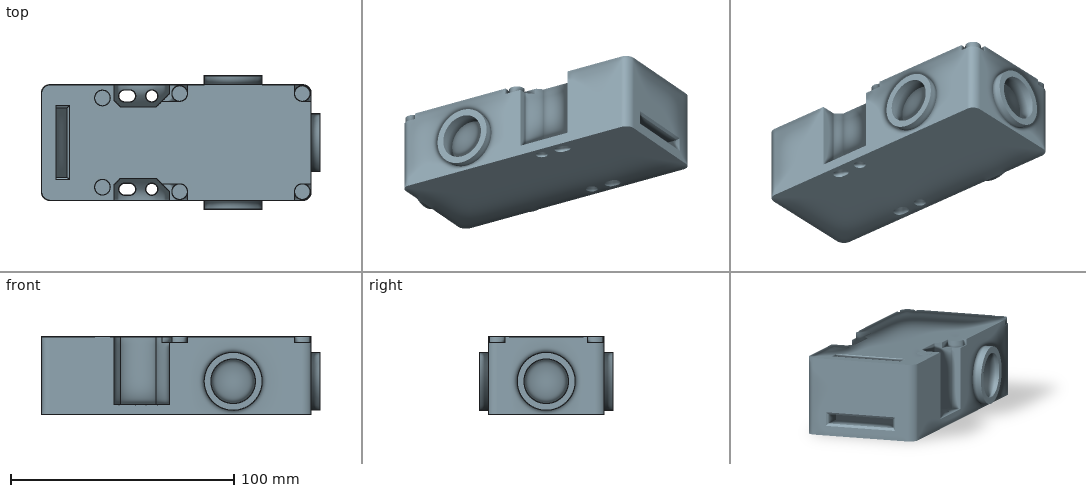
import cadquery as cq
import math

BODY_LENGTH = 121.0
BODY_WIDTH = 52.0
BODY_HEIGHT = 35.0
CORNER_RADIUS = 4.0
HALF_WIDTH = BODY_WIDTH / 2

NOTCH_START = 32.5
NOTCH_LENGTH = 25.0
NOTCH_DEPTH = 10.0
NOTCH_FRONT_CHAMFER = 3.0
NOTCH_REAR_CHAMFER = 6.0
FLANGE_THICKNESS = 4.5

MOUNT_HOLE_DIAMETER = 5.3
MOUNT_HOLE_Y = 20.9
ROUND_HOLE_X = 49.5
LONG_HOLE_X = 38.5
LONG_HOLE_LENGTH = 7.5

HEAD_DIAMETER = 7.0
HEAD_RISE = 0.1
HEAD_RADIUS = HEAD_DIAMETER / 2
FRONT_SCREW_X = 27.4
FRONT_SCREW_Y = 20.0
COVER_SCREW_Y = 22.0
MIDDLE_SCREW_X = 62.0
REAR_SCREW_X = 117.0
SCREW_POCKET_DEPTH = 2.7

COLLAR_DIAMETER = 26.0
COLLAR_LENGTH = 4.0
SOCKET_DIAMETER = 20.0
SOCKET_DEPTH = 7.4
OUTLET_Z = 15.0
SIDE_OUTLET_X = 86.0

MOUTH_LENGTH = 33.2
MOUTH_CHAMFER = 1.0
SLOT_DEPTH = 10.0
TOP_SLOT_FRONT = 6.6
TOP_SLOT_REAR = 12.6
END_SLOT_BOTTOM = 4.4
END_SLOT_TOP = 10.6


def make_body():
    block = cq.Workplane("XY").box(BODY_LENGTH, BODY_WIDTH, BODY_HEIGHT, centered=(False, True, False))
    return block.edges("|Z").fillet(CORNER_RADIUS)


def make_notch(side):
    """Notch in the long side at Y = side * HALF_WIDTH, with chamfered inner corners."""
    end = NOTCH_START + NOTCH_LENGTH
    outer = side * HALF_WIDTH
    inner = side * (HALF_WIDTH - NOTCH_DEPTH)
    outline = [
        (NOTCH_START, outer),
        (NOTCH_START, inner + side * NOTCH_FRONT_CHAMFER),
        (NOTCH_START + NOTCH_FRONT_CHAMFER, inner),
        (end - NOTCH_REAR_CHAMFER, inner),
        (end, inner + side * NOTCH_REAR_CHAMFER),
        (end, outer),
    ]
    floor = cq.Workplane("XY").workplane(offset=FLANGE_THICKNESS)
    return floor.polyline(outline).close().extrude(BODY_HEIGHT - FLANGE_THICKNESS)


def make_mounting_holes(side):
    base = cq.Workplane("XY")
    y = side * MOUNT_HOLE_Y
    round_hole = base.center(ROUND_HOLE_X, y).circle(MOUNT_HOLE_DIAMETER / 2).extrude(FLANGE_THICKNESS)
    long_hole = (
        base.center(LONG_HOLE_X, y).slot2D(LONG_HOLE_LENGTH, MOUNT_HOLE_DIAMETER).extrude(FLANGE_THICKNESS)
    )
    return round_hole.union(long_hole)


def make_screw_pocket(screw_x, open_x, side):
    """Step in the top edge, open to the side and at open_x, its inner corner wrapping the screw head."""
    floor = cq.Workplane("XY").workplane(offset=BODY_HEIGHT - SCREW_POCKET_DEPTH)
    direction = math.copysign(1, screw_x - open_x)
    wall_x = screw_x + direction * HEAD_RADIUS
    screw_y = side * COVER_SCREW_Y
    wall_y = side * (COVER_SCREW_Y - HEAD_RADIUS)
    outer_y = side * HALF_WIDTH
    corner_reach = HEAD_RADIUS * math.sqrt(0.5)
    corner_middle = (screw_x + direction * corner_reach, screw_y - side * corner_reach)
    outline = (
        floor.moveTo(open_x, outer_y)
        .lineTo(open_x, wall_y)
        .lineTo(screw_x, wall_y)
        .threePointArc(corner_middle, (wall_x, screw_y))
        .lineTo(wall_x, outer_y)
        .close()
    )
    return outline.extrude(SCREW_POCKET_DEPTH)


def make_screw_head(x, y):
    seat = cq.Workplane("XY").workplane(offset=BODY_HEIGHT - SCREW_POCKET_DEPTH)
    return seat.center(x, y).circle(HEAD_RADIUS).extrude(SCREW_POCKET_DEPTH + HEAD_RISE)


def add_outlet(part, mouth):
    """Add a collar ending at the mouth plane and sink its blind socket."""
    collar = cq.Workplane(mouth).circle(COLLAR_DIAMETER / 2).extrude(-COLLAR_LENGTH)
    socket = cq.Workplane(mouth).circle(SOCKET_DIAMETER / 2).extrude(-SOCKET_DEPTH)
    return part.union(collar).cut(socket)


def make_actuator_slot(mouth, mouth_start, mouth_end, start_chamfer):
    """Slot sunk from the mouth plane, long in its local X and spanning start to end in its local Y."""
    throat_start = mouth_start + start_chamfer
    throat_end = mouth_end - MOUTH_CHAMFER
    throat_length = MOUTH_LENGTH - 2 * MOUTH_CHAMFER
    mouth_middle = (mouth_start + mouth_end) / 2
    throat_middle = (throat_start + throat_end) / 2
    throat_width = throat_end - throat_start
    slot = cq.Workplane(mouth).center(0, throat_middle).rect(throat_length, throat_width).extrude(-SLOT_DEPTH)
    entry = (
        cq.Workplane(mouth)
        .center(0, mouth_middle)
        .rect(MOUTH_LENGTH, mouth_end - mouth_start)
        .workplane(offset=-MOUTH_CHAMFER)
        .center(0, throat_middle - mouth_middle)
        .rect(throat_length, throat_width)
        .loft(ruled=True)
    )
    return slot.union(entry)


def make_side_mouth(side):
    """Plane across the open end of a side outlet, facing outward."""
    origin = (SIDE_OUTLET_X, side * (HALF_WIDTH + COLLAR_LENGTH), OUTLET_Z)
    return cq.Plane(origin, xDir=(-1, 0, 0), normal=(0, side, 0))


result = make_body()

rear_chamfer_start = NOTCH_START + NOTCH_LENGTH - NOTCH_REAR_CHAMFER

for side in (-1, 1):
    result = result.cut(make_notch(side))
    result = result.cut(make_mounting_holes(side))
    result = result.cut(make_screw_pocket(MIDDLE_SCREW_X, rear_chamfer_start, side))
    result = result.cut(make_screw_pocket(REAR_SCREW_X, BODY_LENGTH, side))
    result = result.union(make_screw_head(FRONT_SCREW_X, side * FRONT_SCREW_Y))
    result = result.union(make_screw_head(MIDDLE_SCREW_X, side * COVER_SCREW_Y))
    result = result.union(make_screw_head(REAR_SCREW_X, side * COVER_SCREW_Y))
    result = add_outlet(result, make_side_mouth(side))

rear_mouth = cq.Plane((BODY_LENGTH + COLLAR_LENGTH, 0, OUTLET_Z), xDir=(0, 0, 1), normal=(1, 0, 0))
result = add_outlet(result, rear_mouth)

top_mouth = cq.Plane((0, 0, BODY_HEIGHT), xDir=(0, -1, 0), normal=(0, 0, 1))
end_mouth = cq.Plane((0, 0, 0), xDir=(0, -1, 0), normal=(-1, 0, 0))
result = result.cut(make_actuator_slot(top_mouth, TOP_SLOT_FRONT, TOP_SLOT_REAR, 0))
result = result.cut(make_actuator_slot(end_mouth, END_SLOT_BOTTOM, END_SLOT_TOP, MOUTH_CHAMFER))